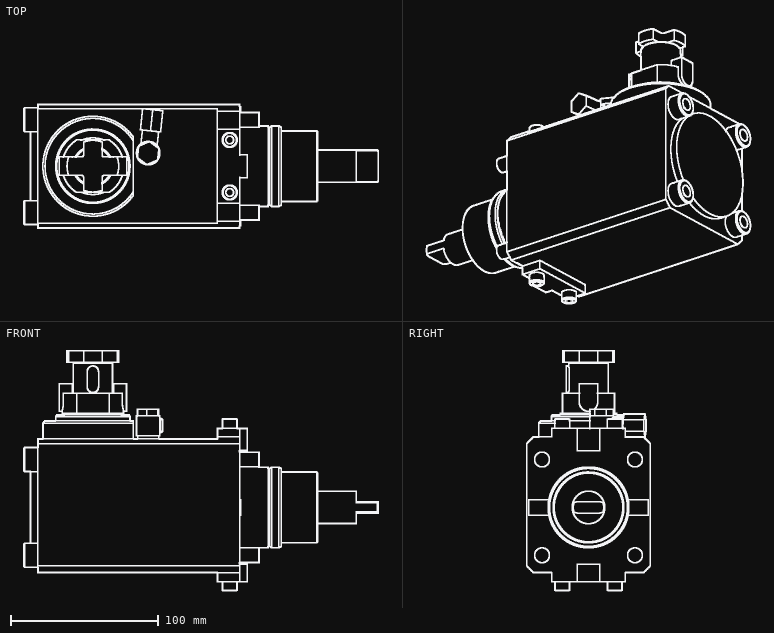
import cadquery as cq
import math


housing_length = 137.0
housing_width = 84.0
housing_bottom = -44.3
pad_top = 48.0
housing_top = 46.5
housing_chamfer = 4.5
clamp_start = 122.0
rear_cover_radius = 36.5
rear_cover_thickness = 5.0
front_key_length = 81.0
front_key_height = 10.5
front_key_thickness = 0.7

bolt_y = 31.5
bolt_z = 32.5
bolt_head_radius = 8.2
bolt_head_length = 9.6
bolt_head_chamfer = 0.7
bolt_socket_radius = 4.0
bolt_socket_depth = 4.8
bolt_shank_radius = 5.0
bolt_shank_length = 13.2

spigot_radius = 27.5
spigot_length = 28.5
groove_start = 19.3
groove_width = 2.5
groove_depth = 1.0
lead_in_length = 2.0
lead_in_depth = 1.0
nose_radius = 24.0
nose_end = 53.0
nose_chamfer = 0.7
shaft_radius = 11.0
shaft_end = 79.3
tang_end = 94.2
tang_half_thickness = 3.9
tang_edge_half_thickness = 3.0
tang_flat_half_width = 7.7
tang_chamfer = 0.7

clamp_top = 53.7
clamp_bottom = -50.5
clamp_half_width = 25.0
clamp_tab_length = 5.3
clamp_tab_width = 15.5
clamp_tab_inner = 38.5
screw_x = 130.3
screw_y = 17.8
screw_radius = 5.0
screw_top = 60.2
screw_bottom = -56.5
screw_chamfer = 0.5
screw_socket_radius = 2.6
screw_socket_depth = 3.0

spindle_x = 37.3
flange_radius = 34.0
flange_top = 58.8
flange_chamfer = 1.5
flange_flat_x = 64.8
seat_radius = 25.3
seat_top = 62.9
seat_chamfer_height = 1.2
seat_chamfer_width = 0.7
neck_radius = 19.3
collar_bottom = 63.8
collar_top = 77.5
collar_radius = 21.0
collar_flat_half_width = 17.8
drive_key_width = 12.5
drive_key_inner = 14.0
drive_key_outer = 23.0
drive_key_bottom = 65.3
drive_key_top = 84.0
arbor_radius = 13.5
arbor_chamfer = 0.7
feather_bottom = 78.0
feather_top = 96.0
feather_width = 7.7
feather_reach = 15.2
cross_bottom = 98.5
cross_top = 106.5
cross_radius = 17.5
cross_arm_width = 12.5
cross_corner_fillet = 1.5

fitting_x = 75.0
fitting_y = 9.0
fitting_angle = 84.0
fitting_radius = 8.0
fitting_foot_radius = 7.2
fitting_foot_top = 48.7
fitting_shoulder = 62.2
fitting_top = 66.7
outlet_z = 55.6
outlet_radius = 5.5
nut_start = 15.2
nut_end = 29.6
nut_side = 8.0


def block(x_range, y_range, z_range):
    """Axis-aligned block between the given limits."""
    size = [high - low for low, high in (x_range, y_range, z_range)]
    low_corner = (x_range[0], y_range[0], z_range[0])
    return cq.Workplane("XY").box(*size, centered=False).translate(low_corner)


def x_rod(radius, x_start, x_end, y=0, z=0):
    """Round bar along X."""
    plane = cq.Workplane("YZ", origin=(x_start, y, z))
    return plane.circle(radius).extrude(x_end - x_start)


def z_rod(radius, z_start, z_end, x=spindle_x, y=0):
    """Round bar along Z."""
    plane = cq.Workplane("XY", origin=(x, y, z_start))
    return plane.circle(radius).extrude(z_end - z_start)


def conical_socket(radius, depth, mouth, inward):
    """Cone to be cut from a screw head, starting at the centre of its mouth."""
    return cq.Workplane(cq.Solid.makeCone(radius, 0, depth, cq.Vector(mouth), cq.Vector(inward)))


def corners_of(half_x, half_y):
    """The four sign combinations of a centred rectangular pattern."""
    return [(sx * half_x, sy * half_y) for sx in (-1, 1) for sy in (-1, 1)]


def make_housing():
    half_width = housing_width / 2
    body = block((0, housing_length), (-half_width, half_width), (housing_bottom, pad_top))
    body = body.edges("|X").chamfer(housing_chamfer)
    body = body.cut(block((0, clamp_start), (-half_width, half_width), (housing_top, pad_top)))
    body = body.union(x_rod(rear_cover_radius, -rear_cover_thickness, 0))
    front_key = cq.Workplane("YZ", origin=(housing_length, 0, 0))
    return body.union(front_key.rect(front_key_length, front_key_height).extrude(front_key_thickness))


def make_housing_bolt(y, z):
    """Socket head on the rear face and shank end on the front face."""
    head = x_rod(bolt_head_radius, -bolt_head_length, 0, y, z)
    head = head.faces("<X").edges().chamfer(bolt_head_chamfer)
    mouth = (-bolt_head_length, y, z)
    socket = conical_socket(bolt_socket_radius, bolt_socket_depth, mouth, (1, 0, 0))
    shank = x_rod(bolt_shank_radius, housing_length, housing_length + bolt_shank_length, y, z)
    return head.cut(socket), shank


def make_spigot():
    """Stepped round spigot and shaft, turned about X."""
    groove_end = groove_start + groove_width
    groove_floor = spigot_radius - groove_depth
    profile = [
        (0, 0),
        (0, spigot_radius),
        (groove_start, spigot_radius),
        (groove_start, groove_floor),
        (groove_start + groove_width / 2, groove_floor),
        (groove_end, spigot_radius),
        (spigot_length - lead_in_length, spigot_radius),
        (spigot_length, spigot_radius - lead_in_depth),
        (spigot_length, nose_radius),
        (nose_end - nose_chamfer, nose_radius),
        (nose_end, nose_radius - nose_chamfer),
        (nose_end, shaft_radius),
        (shaft_end, shaft_radius),
        (shaft_end, 0),
    ]
    plane = cq.Workplane("XY", origin=(housing_length, 0, 0))
    return plane.polyline(profile).close().revolve(360, (0, 0, 0), (1, 0, 0))


def make_tang():
    """Flat driving tang, thinner towards its rounded edges."""
    flat = tang_flat_half_width
    outline = [
        (flat, tang_half_thickness),
        (shaft_radius, tang_edge_half_thickness),
        (shaft_radius, -tang_edge_half_thickness),
        (flat, -tang_half_thickness),
        (-flat, -tang_half_thickness),
        (-shaft_radius, -tang_edge_half_thickness),
        (-shaft_radius, tang_edge_half_thickness),
        (-flat, tang_half_thickness),
    ]
    start = housing_length + shaft_end
    end = housing_length + tang_end
    blade = cq.Workplane("YZ", origin=(start, 0, 0)).polyline(outline).close().extrude(end - start)
    rod = x_rod(shaft_radius, start, end).faces(">X").edges().chamfer(tang_chamfer)
    return blade.intersect(rod)


def make_clamp(seat_z, outer_z, screw_end):
    """Clamp block on one side of the housing, with its tab and two socket screws."""
    side = math.copysign(1, outer_z)
    tab_inner = side * clamp_tab_inner
    half_tab = clamp_tab_width / 2
    clamp = block(
        (clamp_start, housing_length),
        (-clamp_half_width, clamp_half_width),
        sorted((seat_z, outer_z)),
    )
    tab = block(
        (housing_length, housing_length + clamp_tab_length),
        (-half_tab, half_tab),
        sorted((tab_inner, outer_z)),
    )
    clamp = clamp.union(tab)
    head_side = ">Z" if side > 0 else "<Z"
    for y in (-screw_y, screw_y):
        screw = z_rod(screw_radius, outer_z, screw_end, screw_x, y)
        screw = screw.faces(head_side).edges().chamfer(screw_chamfer)
        mouth = (screw_x, y, screw_end)
        socket = conical_socket(screw_socket_radius, screw_socket_depth, mouth, (0, 0, -side))
        clamp = clamp.union(screw.cut(socket))
    return clamp


def make_spindle_base():
    """Flange with one flat side, bearing seat and neck."""
    flange = z_rod(flange_radius, housing_top, flange_top).faces(">Z").edges().chamfer(flange_chamfer)
    flange = flange.intersect(
        block(
            (spindle_x - flange_radius, flange_flat_x),
            (-flange_radius, flange_radius),
            (housing_top, flange_top),
        )
    )
    seat = z_rod(seat_radius, flange_top, seat_top)
    seat = seat.faces(">Z").edges().chamfer(seat_chamfer_height, seat_chamfer_width)
    return flange.union(seat).union(z_rod(neck_radius, seat_top, collar_bottom))


def make_collar():
    """Collar with two flats, carrying a drive key with a rounded lower side at each X end."""
    collar = z_rod(collar_radius, collar_bottom, collar_top).intersect(
        block(
            (spindle_x - collar_radius, spindle_x + collar_radius),
            (-collar_flat_half_width, collar_flat_half_width),
            (collar_bottom, collar_top),
        )
    )
    half_width = drive_key_width / 2
    round_z = drive_key_bottom + half_width
    for key_start in (spindle_x - drive_key_outer, spindle_x + drive_key_inner):
        key = (
            cq.Workplane("YZ", origin=(key_start, 0, 0))
            .moveTo(-half_width, drive_key_top)
            .lineTo(-half_width, round_z)
            .threePointArc((0, drive_key_bottom), (half_width, round_z))
            .lineTo(half_width, drive_key_top)
            .close()
            .extrude(drive_key_outer - drive_key_inner)
        )
        collar = collar.union(key)
    return collar


def make_arbor():
    """Arbor with a feather key on its -Y side."""
    arbor = z_rod(arbor_radius, collar_top, cross_bottom).faces(">Z").edges().chamfer(arbor_chamfer)
    feather_middle = (feather_bottom + feather_top) / 2
    feather = (
        cq.Workplane("XZ", origin=(spindle_x, 0, feather_middle))
        .slot2D(feather_top - feather_bottom, feather_width, 90)
        .extrude(feather_reach)
    )
    return arbor.union(feather)


def make_cross():
    """Cross-shaped head with round arm ends and filleted inner corners."""
    thickness = cross_top - cross_bottom
    span = 2 * cross_radius
    plane = cq.Workplane("XY", origin=(spindle_x, 0, cross_bottom))
    arms = plane.rect(span, cross_arm_width).extrude(thickness)
    arms = arms.union(plane.rect(cross_arm_width, span).extrude(thickness))
    inner_corners = cq.selectors.BoxSelector(
        (spindle_x - cross_arm_width, -cross_arm_width, cross_bottom),
        (spindle_x + cross_arm_width, cross_arm_width, cross_top),
    )
    arms = arms.edges("|Z").edges(inner_corners).fillet(cross_corner_fillet)
    return arms.intersect(z_rod(cross_radius, cross_bottom, cross_top))


def make_fitting():
    """Round fitting with a hexagonal top and a horizontal outlet nut."""
    foot = z_rod(fitting_foot_radius, housing_top, fitting_foot_top, 0)
    barrel = z_rod(fitting_radius, fitting_foot_top, fitting_shoulder, 0)
    hexagon = cq.Workplane("XY", origin=(0, 0, fitting_shoulder)).polygon(6, 2 * fitting_radius)
    hex_top = hexagon.extrude(fitting_top - fitting_shoulder)
    outlet = x_rod(outlet_radius, 0, nut_start, 0, outlet_z)
    nut_plane = cq.Workplane("YZ", origin=(nut_start, 0, outlet_z)).transformed(rotate=(0, 0, 90))
    nut = nut_plane.polygon(6, 2 * nut_side).extrude(nut_end - nut_start)
    fitting = foot.union(barrel).union(hex_top).union(outlet).union(nut)
    return fitting.rotate((0, 0, 0), (0, 0, 1), fitting_angle).translate((fitting_x, fitting_y, 0))


result = make_housing().union(make_spigot()).union(make_tang())
result = result.union(make_clamp(pad_top, clamp_top, screw_top))
result = result.union(make_clamp(housing_bottom, clamp_bottom, screw_bottom))
for y, z in corners_of(bolt_y, bolt_z):
    for piece in make_housing_bolt(y, z):
        result = result.union(piece)
for make_piece in (make_spindle_base, make_collar, make_arbor, make_cross, make_fitting):
    result = result.union(make_piece())